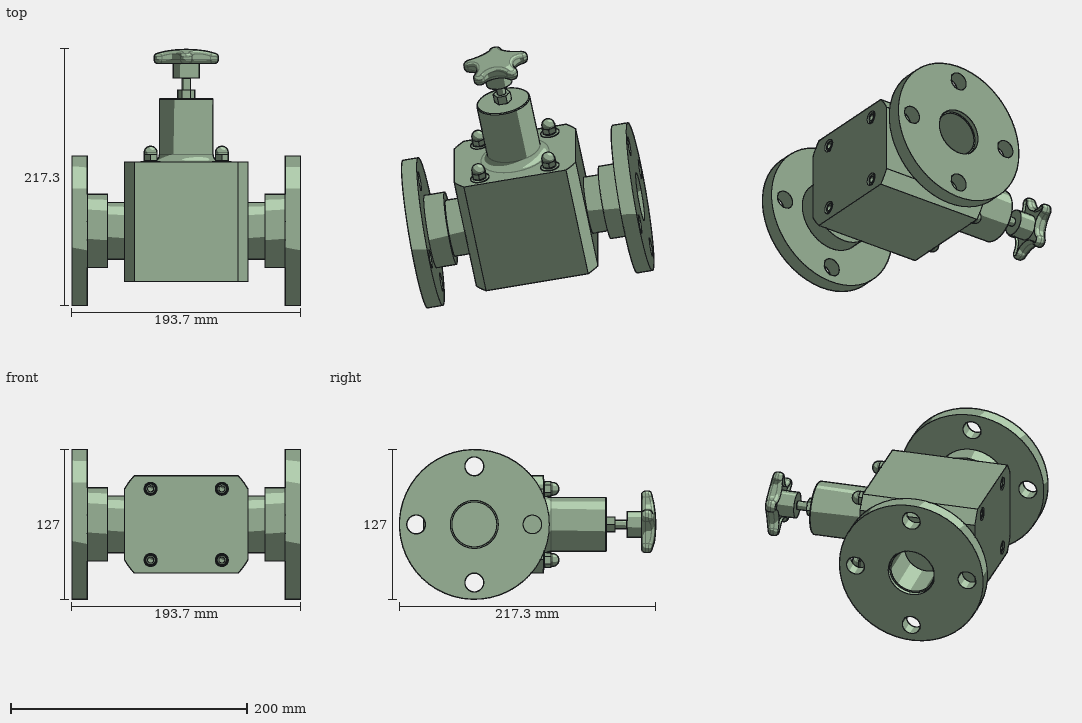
import cadquery as cq
import math


overall_length = 193.68
flange_diameter = 127.0
flange_thickness = 13.1
hub_diameter = 62.23
hub_length = 17.2
pipe_diameter = 48.26
bolt_hole_diameter = 15.75
bolt_circle_diameter = 98.4
bolt_hole_count = 4
bore_diameter = 38.1
entry_diameter = 40.64
entry_depth = 4.2

body_length = 104.8
body_height = 82.55
body_corner_diameter = 120.65
body_front_y = -43.0
body_back_y = 58.4

screw_spacing = 60.3
counterbore_diameter = 11.0
counterbore_depth = 7.0
screw_head_diameter = 9.53
screw_head_top_diameter = 7.94
screw_head_height = 6.35
socket_diameter = 5.2
socket_depth = 3.2
socket_tip_depth = 1.3
washer_diameter = 15.88
washer_thickness = 0.4
nut_collar_diameter = 10.0
nut_collar_height = 0.8
nut_across_flats = 11.0
nut_hex_height = 5.2
nut_dome_diameter = 11.0
nut_neck_height = 1.4

bonnet_diameter = 45.72
bonnet_height = 53.6
bonnet_root_radius = 6.35
bonnet_edge_chamfer = 0.8
stem_nut_across_flats = 12.7
stem_nut_height = 7.3
stem_diameter = 7.44
stem_length = 10.0
stem_tip_diameter = 6.35

knob_top_y = 153.8
knob_hub_diameter = 22.1
knob_hub_height = 12.0
knob_lobe_count = 5
knob_lobe_radius = 5.0
knob_lobe_distance = 23.4
knob_dome_radius = 93.0
knob_bottom_fillet = 3.8
knob_top_fillet = 2.8
knob_wall = 2.4
knob_cavity_depth = 3.0

hex_corner_ratio = 2 / math.sqrt(3)
bonnet_top_y = body_back_y + bonnet_height
stem_nut_top_y = bonnet_top_y + stem_nut_height
knob_hub_y = stem_nut_top_y + stem_length
knob_bottom_y = knob_hub_y + knob_hub_height


def plane_at(y):
    """Sketch plane facing +Y at height y; local x is Z and local y is X."""
    return cq.Plane(origin=(0, y, 0), xDir=(0, 0, 1), normal=(0, 1, 0))


def disc(y, diameter, height):
    return cq.Workplane(plane_at(y)).circle(diameter / 2).extrude(height)


def make_body():
    depth = body_back_y - body_front_y
    block = cq.Workplane(plane_at(body_front_y)).rect(body_height, body_length).extrude(depth)
    return block.intersect(disc(body_front_y, body_corner_diameter, depth))


def make_pipe_end():
    """Flange, hub and pipe stub on the -X side."""
    start = -overall_length / 2
    face = cq.Workplane("YZ", origin=(start, 0, 0))
    stub_length = (overall_length - body_length) / 2
    end = face.circle(pipe_diameter / 2).extrude(stub_length)
    end = end.union(face.circle(hub_diameter / 2).extrude(flange_thickness + hub_length))
    end = end.union(face.circle(flange_diameter / 2).extrude(flange_thickness))
    bolt_holes = (
        face.polarArray(bolt_circle_diameter / 2, 0, 360, bolt_hole_count)
        .circle(bolt_hole_diameter / 2)
        .extrude(flange_thickness)
    )
    bore = face.circle(bore_diameter / 2).extrude(stub_length)
    entry = face.circle(entry_diameter / 2).extrude(entry_depth)
    return end.cut(bolt_holes).cut(bore).cut(entry)


def make_screw_recess():
    """Counterbore ring left open around a sunk screw head with a pointed socket."""
    recess = disc(body_front_y, counterbore_diameter, counterbore_depth)
    head_y = body_front_y + counterbore_depth - screw_head_height
    head_chamfer = (screw_head_diameter - screw_head_top_diameter) / 2
    head = disc(head_y, screw_head_diameter, screw_head_height).faces("<Y").chamfer(head_chamfer)
    socket_floor_y = head_y + socket_depth
    socket = (
        cq.Workplane("XY")
        .moveTo(0, head_y)
        .lineTo(socket_diameter / 2, head_y)
        .lineTo(socket_diameter / 2, socket_floor_y)
        .lineTo(0, socket_floor_y + socket_tip_depth)
        .close()
        .revolve(360, (0, 0, 0), (0, 1, 0))
    )
    return recess.cut(head.cut(socket))


def make_acorn_nut():
    """Washer, collar, hexagon and domed cap stacked along +Y."""
    collar_y = body_back_y + washer_thickness
    hex_y = collar_y + nut_collar_height
    neck_y = hex_y + nut_hex_height
    dome_y = neck_y + nut_neck_height
    nut = disc(body_back_y, washer_diameter, washer_thickness)
    nut = nut.union(disc(collar_y, nut_collar_diameter, nut_collar_height))
    hexagon = cq.Workplane(plane_at(hex_y)).polygon(6, nut_across_flats * hex_corner_ratio)
    nut = nut.union(hexagon.extrude(nut_hex_height))
    nut = nut.union(disc(neck_y, nut_dome_diameter, nut_neck_height))
    dome = cq.Workplane("XY", origin=(0, dome_y, 0)).sphere(nut_dome_diameter / 2)
    return nut.union(dome)


def make_bonnet():
    """Cylinder with a concave flare where it meets the body."""
    radius = bonnet_diameter / 2
    flare = bonnet_root_radius
    arc_offset = flare * (1 - math.sqrt(0.5))
    return (
        cq.Workplane("XY")
        .moveTo(0, body_back_y)
        .lineTo(radius + flare, body_back_y)
        .threePointArc(
            (radius + arc_offset, body_back_y + arc_offset),
            (radius, body_back_y + flare),
        )
        .lineTo(radius, bonnet_top_y - bonnet_edge_chamfer)
        .lineTo(radius - bonnet_edge_chamfer, bonnet_top_y)
        .lineTo(0, bonnet_top_y)
        .close()
        .revolve(360, (0, 0, 0), (0, 1, 0))
    )


def make_stem():
    nut_sketch = cq.Workplane(plane_at(bonnet_top_y))
    nut_sketch = nut_sketch.transformed(rotate=(0, 0, 90))
    nut = nut_sketch.polygon(6, stem_nut_across_flats * hex_corner_ratio).extrude(stem_nut_height)
    tip_chamfer = (stem_diameter - stem_tip_diameter) / 2
    stem = disc(stem_nut_top_y, stem_diameter, stem_length).faces(">Y").chamfer(tip_chamfer)
    return nut.union(stem)


def polar(distance, angle):
    return (distance * math.cos(angle), distance * math.sin(angle))


def make_knob_outline():
    """Half-round lobes joined by tangent concave valleys; the first lobe points to +Z."""
    half_pitch = math.pi / knob_lobe_count
    valley_centre_distance = knob_lobe_distance / math.cos(half_pitch)
    valley_radius = knob_lobe_distance * math.tan(half_pitch) - knob_lobe_radius
    valley_distance = valley_centre_distance - valley_radius
    side_distance = math.hypot(knob_lobe_distance, knob_lobe_radius)
    side_angle = math.atan2(knob_lobe_radius, knob_lobe_distance)

    outline = cq.Workplane(plane_at(knob_bottom_y)).moveTo(*polar(side_distance, -side_angle))
    for index in range(knob_lobe_count):
        angle = 2 * half_pitch * index
        next_angle = angle + 2 * half_pitch
        outline = outline.threePointArc(
            polar(knob_lobe_distance + knob_lobe_radius, angle),
            polar(side_distance, angle + side_angle),
        ).threePointArc(
            polar(valley_distance, angle + half_pitch),
            polar(side_distance, next_angle - side_angle),
        )
    return outline.close()


def make_knob():
    """Domed star with rounded edges, hollow underneath, carried on a round hub."""
    star = make_knob_outline().extrude(knob_top_y - knob_bottom_y)
    dome_centre = cq.Vector(0, knob_top_y - knob_dome_radius, 0)
    dome = cq.Workplane(cq.Solid.makeSphere(knob_dome_radius, dome_centre, cq.Vector(0, 1, 0)))
    star = star.intersect(dome)
    star = star.faces("<Y").edges().fillet(knob_bottom_fillet)
    star = star.faces(">Y").edges().fillet(knob_top_fillet)
    cavity = make_knob_outline().offset2D(-knob_wall).extrude(knob_cavity_depth)
    hub = disc(knob_hub_y, knob_hub_diameter, knob_hub_height + knob_cavity_depth)
    return star.cut(cavity).union(hub)


def at_screws(shape):
    """Copies of a shape at the four screw positions."""
    half = screw_spacing / 2
    return [shape.translate((x, 0, z)) for x in (-half, half) for z in (-half, half)]


valve = make_body()
for recess in at_screws(make_screw_recess()):
    valve = valve.cut(recess)
pipe_end = make_pipe_end()
valve = valve.union(pipe_end).union(pipe_end.mirror("YZ"))
valve = valve.union(make_bonnet()).union(make_stem()).union(make_knob())
for acorn_nut in at_screws(make_acorn_nut()):
    valve = valve.union(acorn_nut)

result = valve